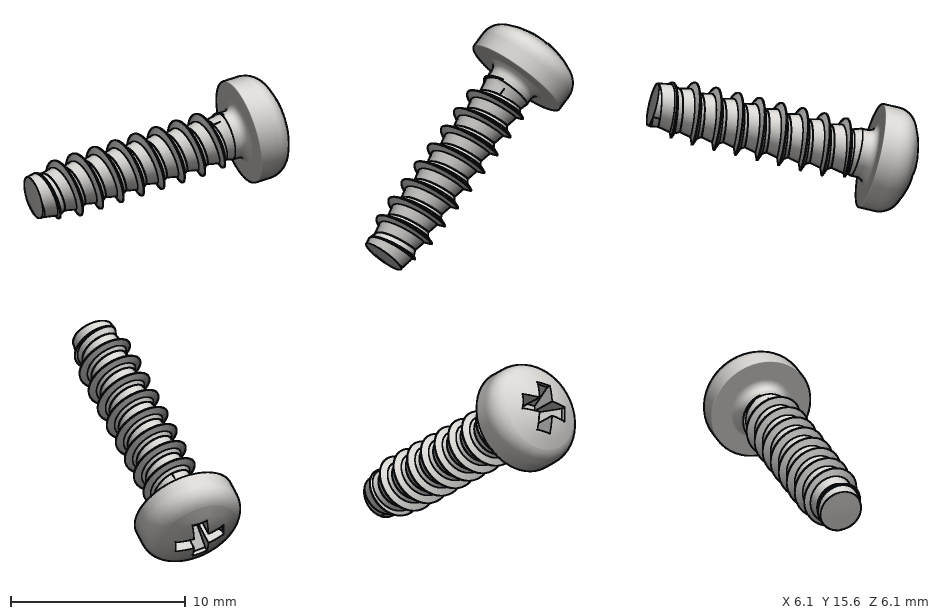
import cadquery as cq
import math


HEAD_RADIUS = 3.05
HEAD_APEX_HEIGHT = 2.64
DOME_RADIUS = 5.0
SHOULDER_RADIUS = 1.2
HEAD_EDGE_FILLET = 0.05

WING_WIDTH = 0.9
WING_SPAN = 3.0
WING_RIM_DEPTH = 0.5
RECESS_DEPTH = 1.7
RECESS_FLOOR_SPAN = 1.5

SHANK_LENGTH = 13.0
TIP_CONE_HEIGHT = 0.03
TIP_CONE_RADIUS = 1.12
NECK_RADIUS = 1.39
NECK_FILLET = 0.48
NECK_END = 0.87
NECK_CHAMFER_HEIGHT = 0.06
TAPER_TOP_RADIUS = 1.36
TAPER_END = 1.45
SPIGOT_RADIUS = 1.1
CORE_RADIUS = 1.205

PITCH = 1.2925
CREST_RADIUS = 1.76
ROOT_RADIUS = 1.355
CREST_HALF_WIDTH = 0.025
FLANK_HALF_WIDTH = 0.2
FLARE_REACH = 0.42
THREAD_GAP = 0.0225
RAMP_REACH = PITCH - FLARE_REACH - THREAD_GAP
FOOT_RADIUS = 1.215
INNER_RADIUS = 1.0
START_ANGLE = -270
CREST_AT_ZERO = 1.71
RUN_IN_ANGLE = 300
RUN_OUT_ANGLE = 540
END_ANGLE = 3150
RUN_IN_RADIUS = 1.37
RUN_OUT_RADIUS = 1.23
ROOT_BELOW_CREST = 0.01
SEGMENT_ANGLE = 180
STEPS_PER_SEGMENT = 12
HALF_DEGREE = 0.5


def make_head():
    """Head and neck, with the neck taper carried on down to a spigot inside the core."""
    dome_centre = DOME_RADIUS - HEAD_APEX_HEIGHT
    shoulder_x = HEAD_RADIUS - SHOULDER_RADIUS
    tilt = math.asin(shoulder_x / (DOME_RADIUS - SHOULDER_RADIUS))
    shoulder_z = dome_centre - (DOME_RADIUS - SHOULDER_RADIUS) * math.cos(tilt)

    def dome_point(angle):
        return (DOME_RADIUS * math.sin(angle), dome_centre - DOME_RADIUS * math.cos(angle))

    def shoulder_point(angle):
        return (
            shoulder_x + SHOULDER_RADIUS * math.sin(angle),
            shoulder_z - SHOULDER_RADIUS * math.cos(angle),
        )

    fillet_centre_x = NECK_RADIUS + NECK_FILLET
    mid_arc_inset = 1 - math.sqrt(0.5)
    fillet_mid = (NECK_RADIUS + NECK_FILLET * mid_arc_inset, NECK_FILLET * mid_arc_inset)
    edge_mid = (HEAD_RADIUS - HEAD_EDGE_FILLET * mid_arc_inset, -HEAD_EDGE_FILLET * mid_arc_inset)
    taper_z = NECK_END + NECK_CHAMFER_HEIGHT
    taper_slope = (TAPER_END - taper_z) / (TAPER_TOP_RADIUS - CORE_RADIUS)
    spigot_z = taper_z + taper_slope * (TAPER_TOP_RADIUS - SPIGOT_RADIUS)
    outline = (
        cq.Workplane("XZ")
        .moveTo(0, -HEAD_APEX_HEIGHT)
        .threePointArc(dome_point(tilt / 2), dome_point(tilt))
        .threePointArc(shoulder_point((tilt + math.pi / 2) / 2), (HEAD_RADIUS, shoulder_z))
        .lineTo(HEAD_RADIUS, -HEAD_EDGE_FILLET)
        .threePointArc(edge_mid, (HEAD_RADIUS - HEAD_EDGE_FILLET, 0))
        .lineTo(fillet_centre_x, 0)
        .threePointArc(fillet_mid, (NECK_RADIUS, NECK_FILLET))
        .lineTo(NECK_RADIUS, NECK_END)
        .lineTo(TAPER_TOP_RADIUS, taper_z)
        .lineTo(SPIGOT_RADIUS, spigot_z)
        .lineTo(0, spigot_z)
        .close()
    )
    return outline.revolve(360, (0, 0, 0), (0, 1, 0))


def make_core():
    """Plain core of the shank, with its slightly conical tip."""
    outline = (
        cq.Workplane("XZ")
        .lineTo(CORE_RADIUS, 0)
        .lineTo(CORE_RADIUS, SHANK_LENGTH)
        .lineTo(TIP_CONE_RADIUS, SHANK_LENGTH)
        .lineTo(0, SHANK_LENGTH + TIP_CONE_HEIGHT)
        .close()
    )
    return outline.revolve(360, (0, 0, 0), (0, 1, 0))


def make_recess():
    """Cross recess: two crossed wings whose ends slope inward to a flat floor."""
    rim_z = WING_RIM_DEPTH - HEAD_APEX_HEIGHT
    floor_z = RECESS_DEPTH - HEAD_APEX_HEIGHT
    wing = (
        cq.Workplane("XZ")
        .moveTo(-WING_SPAN / 2, -HEAD_APEX_HEIGHT)
        .lineTo(WING_SPAN / 2, -HEAD_APEX_HEIGHT)
        .lineTo(WING_SPAN / 2, rim_z)
        .lineTo(RECESS_FLOOR_SPAN / 2, floor_z)
        .lineTo(-RECESS_FLOOR_SPAN / 2, floor_z)
        .lineTo(-WING_SPAN / 2, rim_z)
        .close()
        .extrude(WING_WIDTH / 2, both=True)
    )
    return wing.union(wing.rotate((0, 0, 0), (0, 0, 1), 90))


def crest_radius_at(angle):
    """Crest radius, rising in the run-in and falling in the run-out."""
    run_in = (angle - START_ANGLE) / RUN_IN_ANGLE
    run_out = (END_ANGLE - angle) / RUN_OUT_ANGLE
    return min(
        CREST_RADIUS,
        RUN_IN_RADIUS + (CREST_RADIUS - RUN_IN_RADIUS) * run_in,
        RUN_OUT_RADIUS + (CREST_RADIUS - RUN_OUT_RADIUS) * run_out,
    )


def thread_section(angle):
    """Thread section at one angle, as (radius, axial offset from the crest) corners."""
    crest = crest_radius_at(angle)
    root = min(ROOT_RADIUS, crest - ROOT_BELOW_CREST)
    fullness = (crest - root) / (CREST_RADIUS - ROOT_RADIUS)
    flank = CREST_HALF_WIDTH + (FLANK_HALF_WIDTH - CREST_HALF_WIDTH) * fullness
    return [
        (INNER_RADIUS, -FLARE_REACH),
        (FOOT_RADIUS, -FLARE_REACH),
        (root, -flank),
        (crest, -CREST_HALF_WIDTH),
        (crest, CREST_HALF_WIDTH),
        (root, flank),
        (FOOT_RADIUS, RAMP_REACH),
        (INNER_RADIUS, RAMP_REACH),
    ]


def thread_corner(angle, corner):
    """Position in space of one section corner."""
    radius, offset = thread_section(angle)[corner]
    turn = math.radians(angle)
    height = CREST_AT_ZERO + PITCH * angle / 360 + offset
    return cq.Vector(radius * math.cos(turn), radius * math.sin(turn), height)


def helical_path(start, corner):
    """Path of one section corner through one segment, as a spline with true end directions."""
    angles = [start + SEGMENT_ANGLE * step / STEPS_PER_SEGMENT for step in range(STEPS_PER_SEGMENT + 1)]
    points = [thread_corner(angle, corner) for angle in angles]
    directions = [
        thread_corner(angle + HALF_DEGREE, corner) - thread_corner(angle - HALF_DEGREE, corner)
        for angle in (angles[0], angles[-1])
    ]
    return cq.Edge.makeSpline(points, tangents=directions, parameters=angles, scale=False)


def make_thread():
    """Right-hand thread bounded by ruled faces between the helical paths of its corners."""
    corners = range(len(thread_section(START_ANGLE)))
    faces = []
    for start in range(START_ANGLE, END_ANGLE, SEGMENT_ANGLE):
        paths = [helical_path(start, corner) for corner in corners]
        faces += [cq.Face.makeRuledSurface(paths[corner - 1], paths[corner]) for corner in corners]
    for angle in (START_ANGLE, END_ANGLE):
        cap = [thread_corner(angle, corner) for corner in corners]
        faces.append(cq.Face.makeFromWires(cq.Wire.makePolygon(cap, close=True)))
    thread = cq.Workplane(cq.Solid.makeSolid(cq.Shell.makeShell(faces)))
    envelope = cq.Workplane("XY").circle(HEAD_RADIUS).extrude(SHANK_LENGTH)
    return thread.intersect(envelope)


shank = make_core().union(make_thread(), clean=False)
screw = make_head().union(shank, clean=False).cut(make_recess(), clean=False)
result = screw.rotate((0, 0, 0), (1, 0, 0), 90)